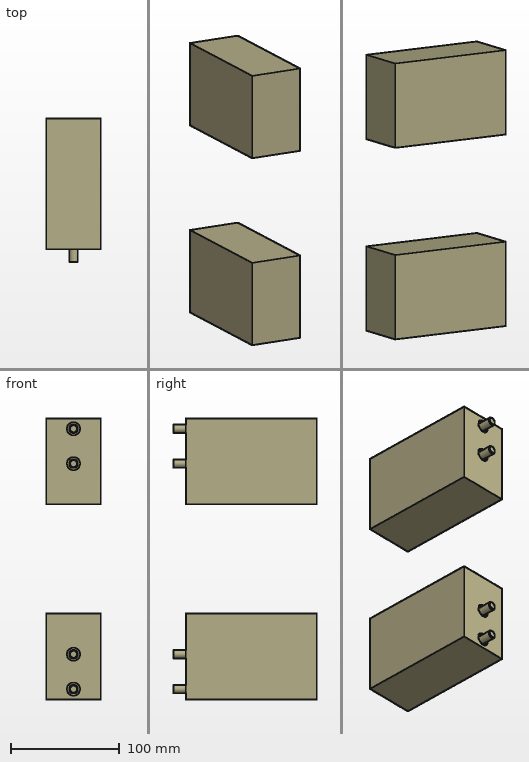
import cadquery as cq

overall_height = 258.0
housing_width = 50.0
housing_height = 79.0
overall_depth = 132.0
pin_projection = 11.9
housing_depth = overall_depth - pin_projection

pin_diameter = 8.0
pin_chamfer = 0.8
outer_pin_offset = 9.5
pin_spacing = 32.0

recess_diameter = 12.0
recess_depth = 2.5

front_y = -housing_depth / 2
housing_center_z = (overall_height - housing_height) / 2
outer_pin_z = overall_height / 2 - outer_pin_offset
pin_heights = [outer_pin_z, outer_pin_z - pin_spacing]


def cylinder_along_y(diameter, start_y, length, z):
    """Cylinder on the X = 0 plane, running from start_y towards +Y."""
    return cq.Workplane("XZ", origin=(0, start_y, z)).circle(diameter / 2).extrude(-length)


def make_housing(side):
    """Rectangular block with a round recess for each pin; side is +1 (upper) or -1 (lower)."""
    housing = cq.Workplane("XY").box(housing_width, housing_depth, housing_height)
    housing = housing.translate((0, 0, side * housing_center_z))
    for height in pin_heights:
        housing = housing.cut(cylinder_along_y(recess_diameter, front_y, recess_depth, side * height))
    return housing


def make_pin(z):
    """Pin standing on the recess floor, with a chamfered free end."""
    pin = cylinder_along_y(pin_diameter, front_y - pin_projection, pin_projection + recess_depth, z)
    return pin.faces("<Y").chamfer(pin_chamfer)


bodies = []
for side in (1, -1):
    bodies.append(make_housing(side).val())
    for height in pin_heights:
        bodies.append(make_pin(side * height).val())

result = cq.Compound.makeCompound(bodies)